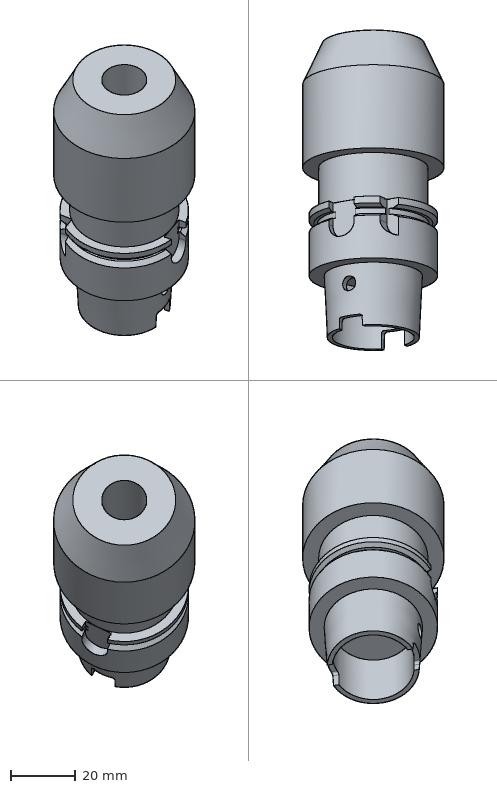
import cadquery as cq

total_height = 95.0
shank_height = 19.95
flange_top = 40.0
head_bottom = 55.0
head_cone_bottom = 82.0

head_radius = 44.0 / 2
head_top_radius = 32.0 / 2
neck_radius = 34.0 / 2
flange_radius = 40.0 / 2
shank_top_radius = 15.3
shank_end_radius = 14.3

groove_radius = 17.4
groove_lower_ledge_radius = 18.1
groove_upper_ledge_radius = 18.5
groove_lower_edge = 33.8
groove_floor_bottom = 35.0
groove_floor_top = 37.0
groove_upper_edge = 37.8

bore_diameter = 14.0
bore_depth = 50.0

hollow_radius = 12.7
hollow_depth = shank_height

slot_width = 9.0
slot_center_height = 32.3
side_slot_floor = neck_radius
corner_notch_floor = 11.9
corner_notch_center = -(corner_notch_floor + slot_width / 2)

keyway_width = 8.3
keyway_height_left = 3.5
keyway_height_right = 5.9
keyway_corner_radius = 0.95
cross_hole_diameter = 4.7
cross_hole_height = 13.8


def turned_body():
    profile = [
        (0, 0),
        (shank_end_radius, 0),
        (shank_top_radius, shank_height),
        (flange_radius, shank_height),
        (flange_radius, groove_lower_edge),
        (groove_lower_ledge_radius, groove_floor_bottom),
        (groove_radius, groove_floor_bottom),
        (groove_radius, groove_floor_top),
        (groove_upper_ledge_radius, groove_floor_top),
        (flange_radius, groove_upper_edge),
        (flange_radius, flange_top),
        (neck_radius, flange_top),
        (neck_radius, head_bottom),
        (head_radius, head_bottom),
        (head_radius, head_cone_bottom),
        (head_top_radius, total_height),
        (0, total_height),
    ]
    return cq.Workplane("XZ").polyline(profile).close().revolve(360, (0, 0), (0, 1))


def flange_slot(side, center_y, floor_distance):
    """Cutter with a round lower end, open upward and outward along side * X."""
    radius = slot_width / 2
    return (
        cq.Workplane("YZ", origin=(side * floor_distance, 0, 0))
        .moveTo(center_y - radius, flange_top)
        .lineTo(center_y - radius, slot_center_height)
        .threePointArc(
            (center_y, slot_center_height - radius),
            (center_y + radius, slot_center_height),
        )
        .lineTo(center_y + radius, flange_top)
        .close()
        .extrude(side * flange_radius)
    )


def keyway(side, height):
    """Keyway cutter from the axis outward, rounded at its two upper corners."""
    return (
        cq.Workplane("XY")
        .box(shank_top_radius, keyway_width, height, centered=(False, True, False))
        .edges("|X and >Z")
        .fillet(keyway_corner_radius)
        .translate((0 if side > 0 else -shank_top_radius, 0, 0))
    )


def tool_bore():
    return (
        cq.Workplane("XY", origin=(0, 0, total_height - bore_depth))
        .circle(bore_diameter / 2)
        .extrude(bore_depth)
    )


def shank_hollow():
    return cq.Workplane("XY").circle(hollow_radius).extrude(hollow_depth)


def cross_hole():
    return (
        cq.Workplane("YZ")
        .center(0, cross_hole_height)
        .circle(cross_hole_diameter / 2)
        .extrude(shank_top_radius, both=True)
    )


result = turned_body().cut(tool_bore()).cut(shank_hollow()).cut(cross_hole())
for side, keyway_height in ((-1, keyway_height_left), (1, keyway_height_right)):
    result = result.cut(flange_slot(side, 0, side_slot_floor))
    result = result.cut(keyway(side, keyway_height))
result = result.cut(flange_slot(-1, corner_notch_center, corner_notch_floor))